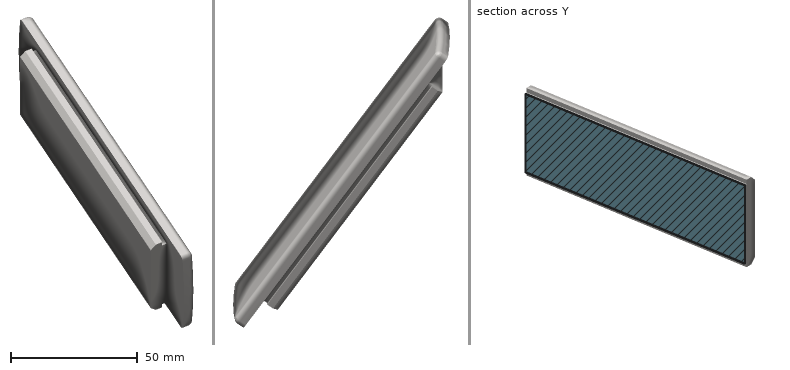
import cadquery as cq

PLATE_LENGTH = 141.7
PLATE_HEIGHT = 44.0
PLATE_THICKNESS = 5.0
END_BOW = 1.4
CORNER_RADIUS = 2.0
BACK_EDGE_RADIUS = 2.1

TOTAL_DEPTH = 12.0
RAIL_LENGTH = 112.0
RAIL_CENTER_Z = -1.4
HEAD_HEIGHT = 40.2
HEAD_CHAMFER = 2.3
NECK_DEPTH = 2.0
NECK_STEP = 2.0

HEAD_DEPTH = TOTAL_DEPTH - PLATE_THICKNESS - NECK_DEPTH


def make_plate():
    """Plate with bowed ends, its mounting face lying on Y = 0."""
    tip_x = PLATE_LENGTH / 2
    corner_x = tip_x - END_BOW
    corner_z = PLATE_HEIGHT / 2
    blank = (
        cq.Workplane("XZ")
        .moveTo(-corner_x, -corner_z)
        .lineTo(corner_x, -corner_z)
        .threePointArc((tip_x, 0), (corner_x, corner_z))
        .lineTo(-corner_x, corner_z)
        .threePointArc((-tip_x, 0), (-corner_x, -corner_z))
        .close()
        .extrude(-PLATE_THICKNESS)
    )
    rounded = blank.edges("|Y").fillet(CORNER_RADIUS)
    return rounded.faces(">Y").edges().fillet(BACK_EDGE_RADIUS)


def make_bar(height, start_y, depth):
    """Rectangular bar of the rail's length, running from start_y towards -Y."""
    return (
        cq.Workplane("XZ", origin=(0, start_y, RAIL_CENTER_Z))
        .rect(RAIL_LENGTH, height)
        .extrude(depth)
    )


def make_rail():
    """Neck and head, with the head's long front edges chamfered."""
    neck = make_bar(HEAD_HEIGHT - 2 * NECK_STEP, 0, NECK_DEPTH)
    head = make_bar(HEAD_HEIGHT, -NECK_DEPTH, HEAD_DEPTH)
    head = head.faces("<Y").edges("|X").chamfer(HEAD_CHAMFER)
    return neck.union(head)


result = make_plate().union(make_rail())